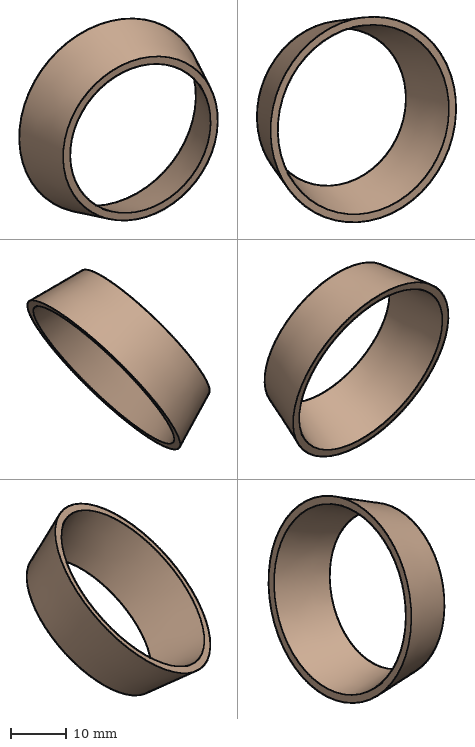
import cadquery as cq

ring_length = 11.0
wide_outer_diameter = 38.0
narrow_outer_diameter = 32.0
diameter_reduction = 3.0

wide_outer_radius = wide_outer_diameter / 2
narrow_outer_radius = narrow_outer_diameter / 2
wall_thickness = diameter_reduction / 2

wall_section = (
    cq.Workplane("XZ")
    .moveTo(0, wide_outer_radius)
    .lineTo(ring_length, narrow_outer_radius)
    .lineTo(ring_length, narrow_outer_radius - wall_thickness)
    .lineTo(0, wide_outer_radius - wall_thickness)
    .close()
)

result = wall_section.revolve(360, (0, 0, 0), (1, 0, 0))